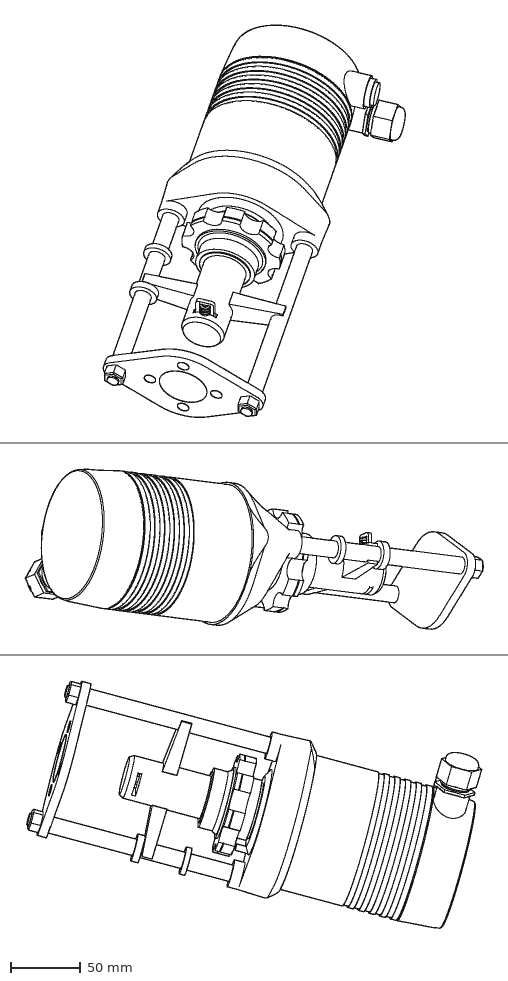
import cadquery as cq
import math


length = 307.7
nut_front = 1.2
plate_front = 9.2
plate_back = 16.0
shaft_front = 57.8
collar_front = 119.0
collar_back = 129.2
cone_back = 132.5
wheel_front = 134.0
wheel_back = 146.5
neck_back = 154.5
disc_front = 156.0
bonnet_front = 159.5
flange_front = 181.5
flange_back = 187.0
cap_front = 275.7

root_depth = 3.0
cutter_margin = 3.0

rod_x = 50.0
rod_radius = 6.0
boss_radius = 10.0
boss_length = 7.7
plate_mid_radius = 35.0
plate_ear_radius = 9.8
mark_depth = 0.3
plate_bore_radius = 17.8
bolt_count = 4
bolt_circle_radius = 25.0
bolt_radius = 4.3
nut_corner_radius = 8.0
nut_chamfer = 1.0

body_radius = 50.0
cap_end_radius = 47.5
cap_band = 6.5
cap_chamfer = 1.0
seam_width = 1.0
groove_count = 5
groove_pitch = 8.0
groove_width = 4.0
groove_depth = 1.0
first_groove_back = 270.5

flange_radius = 51.7
flange_ear_radius = 11.0
ear_bevel_radius = 52.3
ear_bevel_depth = 7.5
bonnet_radius = 37.0
disc_back_radius = 32.0
disc_front_radius = 26.0
pin_x = -30.0
pin_radius = 2.5
pin_front = 149.8

shaft_radius = 16.0
shaft_chamfer = 3.0
shaft_chamfer_radius = 14.0
collar_radius = 22.0
collar_lip = 1.0
collar_lip_radius = 19.0
neck_groove_radius = 21.0
neck_radius = 22.5
wheel_cone_radius = 24.3
wheel_ring_radius = 26.5
wheel_radius = 37.0
scoop_count = 8
scoop_radius = 8.0
scoop_centre_radius = 38.8
wheel_groove_front = 137.5
wheel_groove_width = 0.5
wheel_groove_depth = 0.3

arm_inner_x = 13.2
arm_outer_x = 53.0
arm_back = 93.5
arm_inner_front = 82.5
arm_outer_front = 85.8
arm_inner_half_height = 9.8
arm_outer_half_height = 7.7
ring_spans = [(79.5, 84.5), (115.7, 119.7)]

slot_y = 67.0
slot_width = 2.8
slot_half_length = 8.5
frame_half_width = 6.8
frame_top = 28.3
frame_thickness = 2.8
screw_radius = 2.5
thread_radius = 4.0
thread_thickness = 1.5
thread_first_z = 17.0
thread_pitch = 3.5
thread_count = 3

entry_y = 288.3
entry_z = 15.0
entry_radius = 12.3
entry_end = 58.5
gland_corner_radius = 15.0
gland_flange_end = 60.5
gland_groove_radius = 10.0
gland_groove_end = 61.8
gland_neck_radius = 11.0
gland_nut_start = 64.5
gland_nut_end = 78.8
gland_tip = 84.0
gland_round = 4.0
plug_radius = 10.5
plug_end = 62.5
knob_radius = 8.5
knob_end = 65.2


def y_plane(y, x=0.0, z=0.0):
    """Plane across the main axis; local x is X, local y is Z, extrusion goes to +Y."""
    return cq.Workplane(cq.Plane(origin=(x, y, z), xDir=(1, 0, 0), normal=(0, -1, 0)))


def disc_y(radius, start, end, x=0.0, z=0.0):
    return y_plane(start, x, z).circle(radius).extrude(start - end)


def ring_y(outer, inner, start, end):
    return y_plane(start).circle(outer).circle(inner).extrude(start - end)


def x_plane(x, y, z):
    """Plane across X; local x is Y, local y is Z, extrusion goes to +X."""
    return cq.Workplane("YZ", origin=(x, y, z))


def disc_x(radius, start, end, y, z):
    return x_plane(start, y, z).circle(radius).extrude(end - start)


def hexagon(corner_radius, first_angle):
    angles = [math.radians(first_angle + 60 * i) for i in range(6)]
    return [(corner_radius * math.cos(a), corner_radius * math.sin(a)) for a in angles]


def turned(points):
    """Solid of revolution about the Y axis from (radius, Y) points."""
    closed = [(0, points[0][1])] + points + [(0, points[-1][1])]
    return cq.Workplane("XY").polyline(closed).close().revolve(360, (0, 0, 0), (0, 1, 0))


def diamond(work, mid_radius, ear_radius):
    """Outline wrapped around a central circle and one ear circle on each side."""
    cosine = (mid_radius - ear_radius) / rod_x
    sine = math.sqrt(1 - cosine**2)
    mid_x, mid_z = mid_radius * cosine, mid_radius * sine
    ear_x, ear_z = rod_x + ear_radius * cosine, ear_radius * sine
    return (
        work.moveTo(ear_x, -ear_z)
        .threePointArc((rod_x + ear_radius, 0), (ear_x, ear_z))
        .lineTo(mid_x, mid_z)
        .threePointArc((0, mid_radius), (-mid_x, mid_z))
        .lineTo(-ear_x, ear_z)
        .threePointArc((-rod_x - ear_radius, 0), (-ear_x, -ear_z))
        .lineTo(-mid_x, -mid_z)
        .threePointArc((0, -mid_radius), (mid_x, -mid_z))
        .close()
    )


def motor():
    """Round housing with a tapered cap and a band of cooling grooves."""
    body = turned([
        (body_radius, flange_front),
        (body_radius, cap_front),
        (cap_end_radius + cap_chamfer, length - cap_band),
        (cap_end_radius, length - cap_chamfer),
        (cap_end_radius - cap_chamfer, length),
    ])
    floor_radius = body_radius - groove_depth
    rim = body_radius + cutter_margin
    for i in range(groove_count):
        back = first_groove_back - i * groove_pitch
        body = body.cut(ring_y(rim, floor_radius, back - groove_width, back))
    return body.cut(ring_y(rim, floor_radius, cap_front - seam_width, cap_front))


def bonnet():
    """Eared flange tapering to the rod bosses, with a shallow front cone and a stop pin."""
    flange = diamond(y_plane(flange_front), flange_radius, flange_ear_radius)
    flange = flange.extrude(flange_front - flange_back)
    ear_tip = rod_x + flange_ear_radius
    bevel = turned([
        (ear_tip, bonnet_front),
        (ear_tip, flange_back - ear_bevel_depth),
        (ear_bevel_radius, flange_back),
    ])
    skirt = diamond(y_plane(flange_front), flange_radius, flange_ear_radius)
    skirt = skirt.workplane(offset=flange_front - bonnet_front)
    skirt = diamond(skirt, bonnet_radius, boss_radius).loft(ruled=True)
    disc = turned([(disc_front_radius, disc_front), (disc_back_radius, bonnet_front)])
    pin = disc_y(pin_radius, pin_front, bonnet_front + root_depth, x=pin_x)
    return flange.union(skirt).intersect(bevel).union(disc).union(pin)


def shaft():
    """Chamfered shaft with the stepped collar and neck behind it."""
    return turned([
        (shaft_chamfer_radius, shaft_front),
        (shaft_radius, shaft_front + shaft_chamfer),
        (shaft_radius, collar_front - collar_lip),
        (collar_lip_radius, collar_front - collar_lip),
        (collar_lip_radius, collar_front),
        (collar_radius, collar_front),
        (collar_radius, collar_back),
        (wheel_cone_radius, cone_back),
        (wheel_ring_radius, cone_back),
        (wheel_ring_radius, wheel_back),
        (neck_radius, wheel_back),
        (neck_radius, neck_back),
        (neck_groove_radius, neck_back),
        (neck_groove_radius, disc_front),
    ])


def wheel():
    """Hand wheel with scooped finger grips around its rim."""
    body = disc_y(wheel_radius, wheel_front, wheel_back)
    groove_floor = wheel_radius - wheel_groove_depth
    groove_back = wheel_groove_front + wheel_groove_width
    body = body.cut(ring_y(wheel_radius + cutter_margin, groove_floor, wheel_groove_front, groove_back))
    scoops = (
        y_plane(wheel_front)
        .polarArray(scoop_centre_radius, 180 / scoop_count, 360, scoop_count)
        .circle(scoop_radius)
        .extrude(wheel_front - wheel_back)
    )
    return body.cut(scoops)


def adjuster_slot():
    """Cutter for the slot that passes through the shaft along Z."""
    height = 2 * (shaft_radius + cutter_margin)
    return cq.Workplane("XY").box(2 * slot_half_length, slot_width, height).translate((0, slot_y, 0))


def adjuster():
    """Upright frame in the slot, holding a threaded screw."""
    frame = cq.Workplane("XY").box(2 * frame_half_width, slot_width, frame_top, centered=(True, True, False))
    frame = frame.edges("|Y and >Z").fillet(frame_thickness)
    window_width = 2 * (frame_half_width - frame_thickness)
    window = cq.Workplane("XY").box(
        window_width, slot_width, frame_top - frame_thickness, centered=(True, True, False)
    )
    unit = frame.cut(window)
    unit = unit.union(cq.Workplane("XY").circle(screw_radius).extrude(frame_top - frame_thickness))
    for i in range(thread_count):
        bottom = thread_first_z + i * thread_pitch - thread_thickness / 2
        thread = cq.Workplane("XY", origin=(0, 0, bottom)).circle(thread_radius).extrude(thread_thickness)
        unit = unit.union(thread)
    return unit.translate((0, slot_y, 0))


def rod(x):
    """Rod with its boss at the bonnet and its hexagon nut at the plate."""
    bar = disc_y(rod_radius, plate_front, bonnet_front + root_depth, x=x)
    boss = disc_y(boss_radius, bonnet_front - boss_length, bonnet_front, x=x)
    nut = y_plane(nut_front, x).polyline(hexagon(nut_corner_radius, 90)).close()
    nut = nut.extrude(nut_front - plate_front).faces("<Y").chamfer(nut_chamfer)
    tip = disc_y(bolt_radius, 0, nut_front, x=x)
    return bar.union(boss).union(nut).union(tip)


def rod_ring(span):
    return disc_y(boss_radius, span[0], span[1], x=-rod_x)


def arm(side):
    """Tapered arm clamped on a rod and reaching into the shaft; side is -1 or 1."""
    plan = [
        (side * arm_inner_x, arm_back),
        (side * arm_outer_x, arm_back),
        (side * arm_outer_x, arm_outer_front),
        (side * arm_inner_x, arm_inner_front),
    ]
    elevation = [
        (side * arm_inner_x, arm_inner_half_height),
        (side * arm_outer_x, arm_outer_half_height),
        (side * arm_outer_x, -arm_outer_half_height),
        (side * arm_inner_x, -arm_inner_half_height),
    ]
    slab = cq.Workplane("XY").polyline(plan).close().extrude(arm_inner_half_height, both=True)
    taper = y_plane(arm_inner_front).polyline(elevation).close().extrude(arm_inner_front - arm_back)
    return slab.intersect(taper)


def yoke_plate():
    """Diamond plate with faintly recessed centre bore and bolt positions."""
    plate = diamond(y_plane(plate_front), plate_mid_radius, plate_ear_radius)
    plate = plate.extrude(plate_front - plate_back)
    bore = y_plane(plate_front).circle(plate_bore_radius).extrude(-mark_depth)
    bolts = y_plane(plate_front).polarArray(bolt_circle_radius, 0, 360, bolt_count).circle(bolt_radius)
    return plate.cut(bore).cut(bolts.extrude(-mark_depth))


def cable_gland():
    """Lower cable entry with a flange, a hexagon nut and a rounded tip."""
    z = -entry_z
    corners = hexagon(gland_corner_radius, 0)
    entry = disc_x(entry_radius, 0, entry_end, entry_y, z)
    flange = x_plane(entry_end, entry_y, z).polyline(corners).close().extrude(gland_flange_end - entry_end)
    groove_floor = disc_x(gland_groove_radius, gland_flange_end, gland_groove_end, entry_y, z)
    neck = disc_x(gland_neck_radius, gland_groove_end, gland_nut_start, entry_y, z).union(groove_floor)
    nut = x_plane(gland_nut_start, entry_y, z).polyline(corners).close()
    nut = nut.extrude(gland_nut_end - gland_nut_start)
    dome = disc_x(entry_radius, gland_nut_start, gland_tip, entry_y, z)
    dome = dome.faces(">X").edges().fillet(gland_round)
    return entry.union(flange).union(neck).union(nut).union(dome)


def cable_plug():
    """Upper cable entry closed by a stepped plug."""
    entry = disc_x(entry_radius, 0, entry_end, entry_y, entry_z)
    plug = disc_x(plug_radius, entry_end, plug_end, entry_y, entry_z)
    knob = disc_x(knob_radius, plug_end, knob_end, entry_y, entry_z)
    return entry.union(plug).union(knob)


result = motor().union(bonnet()).union(shaft()).union(wheel())
result = result.cut(adjuster_slot()).union(adjuster())
for side in (-1, 1):
    result = result.union(rod(side * rod_x)).union(arm(side))
for span in ring_spans:
    result = result.union(rod_ring(span))
result = result.union(yoke_plate()).union(cable_gland()).union(cable_plug())